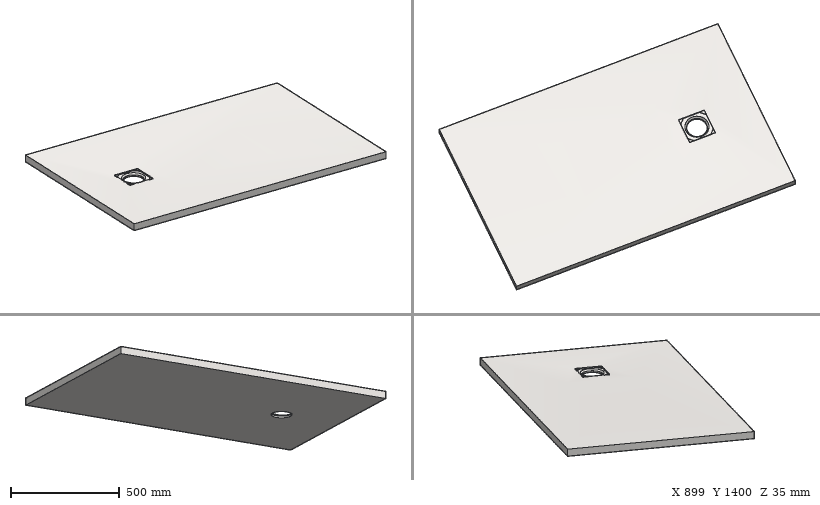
import cadquery as cq

WIDTH = 899.0
LENGTH = 1400.0
THICKNESS = 35.0

DRAIN_FROM_FRONT = 300.0
DRAIN_Y = DRAIN_FROM_FRONT - LENGTH / 2
FALL = 14.0
POCKET_SIDE = 129.0
POCKET_DEPTH = 5.0
CORNER_LEG = 24.0
CORNER_STEP = 3.0
BORE_TOP_DIAMETER = 110.0
BORE_DIAMETER = 95.0
TAPER_DEPTH = 7.0

FLOOR_AT_DRAIN = THICKNESS - FALL
POCKET_FLOOR = FLOOR_AT_DRAIN - POCKET_DEPTH
TAPER_END = POCKET_FLOOR - TAPER_DEPTH


def corners(width, length, y_centre, z):
    signs = ((-1, -1), (1, -1), (1, 1), (-1, 1))
    return [cq.Vector(sx * width / 2, y_centre + sy * length / 2, z) for sx, sy in signs]


def closed_polyline(points):
    return cq.Wire.makePolygon(points, close=True)


def sloped_slab():
    """Slab whose smooth top falls from the level rim to the drain opening."""
    base = corners(WIDTH, LENGTH, 0, 0)
    rim = corners(WIDTH, LENGTH, 0, THICKNESS)
    drain = corners(POCKET_SIDE, POCKET_SIDE, DRAIN_Y, FLOOR_AT_DRAIN)
    back_fall_middle = cq.Vector(0, (DRAIN_Y + LENGTH / 2) / 2, THICKNESS - FALL / 2)

    top = cq.Face.makeNSidedSurface(closed_polyline(rim).Edges(), drain + [back_fall_middle])
    faces = [top, cq.Face.makeFromWires(closed_polyline(base))]
    for i in range(4):
        j = (i + 1) % 4
        side = closed_polyline([base[i], base[j], rim[j], rim[i]])
        faces.append(cq.Face.makeFromWires(side))
    return cq.Workplane(cq.Solid.makeSolid(cq.Shell.makeShell(faces)))


def drain_pocket():
    """Square recess with a raised triangular ledge in each corner."""
    ledge_top = FLOOR_AT_DRAIN - CORNER_STEP
    upper = (
        cq.Workplane("XY", origin=(0, DRAIN_Y, ledge_top))
        .rect(POCKET_SIDE, POCKET_SIDE)
        .extrude(THICKNESS - ledge_top)
    )
    lower = (
        cq.Workplane("XY", origin=(0, DRAIN_Y, POCKET_FLOOR))
        .rect(POCKET_SIDE, POCKET_SIDE)
        .extrude(ledge_top - POCKET_FLOOR)
        .edges("|Z")
        .chamfer(CORNER_LEG)
    )
    return upper.union(lower)


def drain_bore():
    """Through bore with a tapered mouth."""
    taper = (
        cq.Workplane("XY", origin=(0, DRAIN_Y, POCKET_FLOOR))
        .circle(BORE_TOP_DIAMETER / 2)
        .workplane(offset=-TAPER_DEPTH)
        .circle(BORE_DIAMETER / 2)
        .loft()
    )
    bore = cq.Workplane("XY", origin=(0, DRAIN_Y, 0)).circle(BORE_DIAMETER / 2).extrude(TAPER_END)
    return taper.union(bore)


result = sloped_slab().cut(drain_pocket()).cut(drain_bore())